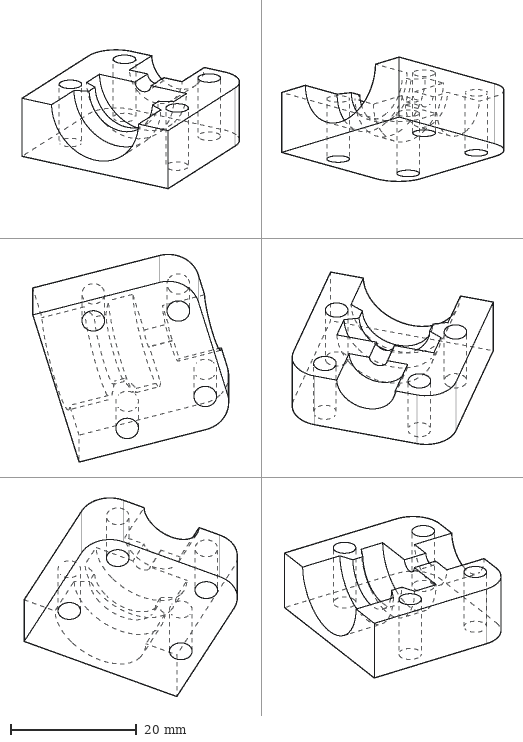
import cadquery as cq

width = 27.0
depth = 26.0
height = 10.0
corner_radius = 5.0

axis_rise = 0.2
axis_z = height + axis_rise

large_radius = 8.05
neck_radius = 5.85
passage_radius = 1.5
rear_radius = 4.85

front_bore_end = 7.0
cone_length = 1.05
neck_start = front_bore_end + cone_length
neck_length = 1.9
neck_end = neck_start + neck_length
chamber_start = neck_end + cone_length
chamber_end = 15.0
rear_bore_start = 19.0

hole_diameter = 3.6
front_hole_x = 9.85
front_hole_y = 9.0
rear_hole_x = 7.83
rear_hole_y = 22.5


def make_block():
    """Rectangular block with its two rear vertical edges rounded."""
    block = cq.Workplane("XY").box(width, depth, height, centered=(True, False, False))
    return block.edges("|Z and >Y").fillet(corner_radius)


def make_bore():
    """Stepped, revolved bore with a conical-sided neck."""
    profile = [
        (0, 0),
        (large_radius, 0),
        (large_radius, front_bore_end),
        (neck_radius, neck_start),
        (neck_radius, neck_end),
        (large_radius, chamber_start),
        (large_radius, chamber_end),
        (passage_radius, chamber_end),
        (passage_radius, rear_bore_start),
        (rear_radius, rear_bore_start),
        (rear_radius, depth),
        (0, depth),
    ]
    bore = cq.Workplane("XY").polyline(profile).close().revolve(360, (0, 0, 0), (0, 1, 0))
    return bore.translate((0, 0, axis_z))


def make_holes():
    """Cylinders for the four vertical through holes."""
    centres = [
        (side * x, y)
        for side in (-1, 1)
        for x, y in ((front_hole_x, front_hole_y), (rear_hole_x, rear_hole_y))
    ]
    return cq.Workplane("XY").pushPoints(centres).circle(hole_diameter / 2).extrude(height)


result = make_block().cut(make_bore()).cut(make_holes())